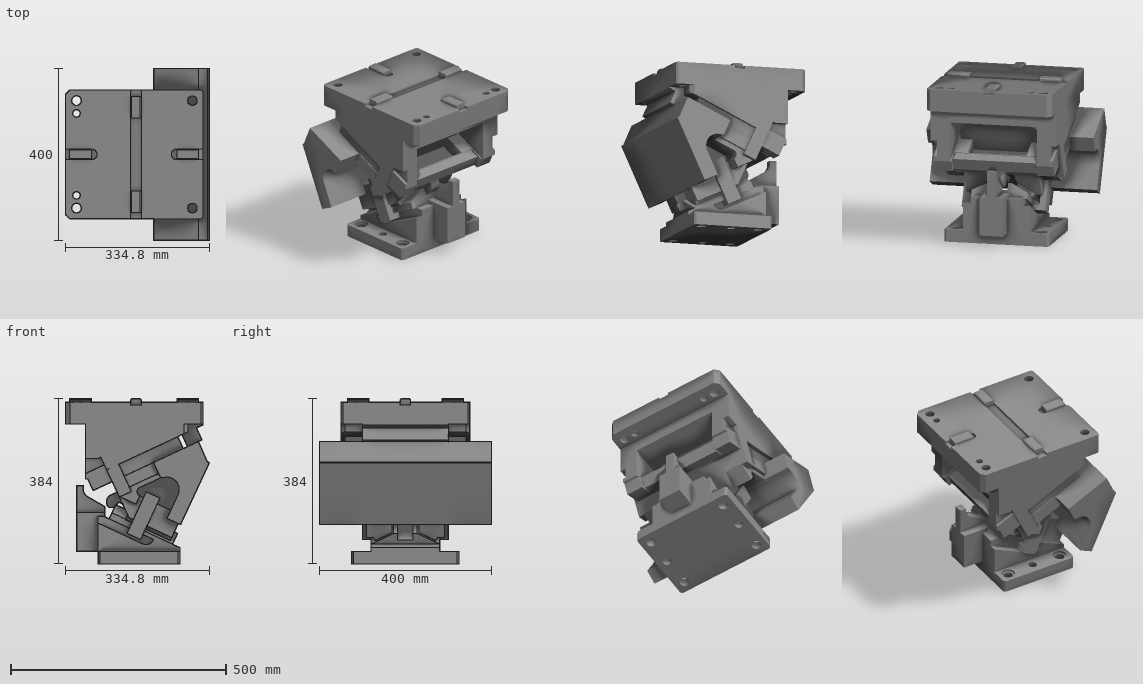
import cadquery as cq
import math


INCLINE = math.radians(25)
COS = math.cos(INCLINE)
SIN = math.sin(INCLINE)
UP_ORIGIN = (109.0, 191.0)
DOWN_ORIGIN = (101.5, 105.0)


def up(u, v):
    """x, z of a point u along the rising slope of the holder and v square to it."""
    return (UP_ORIGIN[0] + u * COS - v * SIN, UP_ORIGIN[1] + u * SIN + v * COS)


def down(p, q):
    """x, z of a point p along the falling slope of the base and q square to it."""
    return (DOWN_ORIGIN[0] + p * COS + q * SIN, DOWN_ORIGIN[1] - p * SIN + q * COS)


def slope_height(x, v):
    """z at x on the rising line that lies v above the underside of the slide plate."""
    return UP_ORIGIN[1] + (x - UP_ORIGIN[0]) * math.tan(INCLINE) + v / COS


def front_plane(q):
    """x, z of the point on the slide front plane (u = 0) at height q over the falling slope."""
    q_start = (UP_ORIGIN[0] - DOWN_ORIGIN[0]) * SIN + (UP_ORIGIN[1] - DOWN_ORIGIN[1]) * COS
    return up(0, (q - q_start) / math.cos(2 * INCLINE))


def prism(points, half_width):
    """Polygon in x, z extruded to both sides of y = 0."""
    return cq.Workplane("XZ").polyline(points).close().extrude(half_width, both=True)


def both_sides(outline, y_inner, y_outer):
    """Closed x, z outline extruded from y_inner to y_outer, on each side of y = 0."""
    slab = outline.extrude(y_outer - y_inner).translate((0, -y_inner, 0))
    return slab.union(slab.mirror("XZ"))


def side_prisms(points, y_inner, y_outer):
    return both_sides(cq.Workplane("XZ").polyline(points).close(), y_inner, y_outer)


def box(x0, x1, half_width, z0, z1):
    return prism([(x0, z0), (x1, z0), (x1, z1), (x0, z1)], half_width)


def guide_section(points, p_start, length):
    """Section in y, q swept along the falling slope from p_start."""
    x, z = down(p_start, 0)
    plane = cq.Plane(origin=(x, 0, z), xDir=(0, 1, 0), normal=(COS, 0, -SIN))
    return cq.Workplane(plane).polyline(points).close().extrude(length)


def mirrored(half_section):
    """Half section on +y, ordered, completed with its reflection on -y."""
    return half_section + [(-y, q) for y, q in reversed(half_section)]


MARGIN = 20

SLIDE_PLATE = 30.5
LIP_DROP = 28.0
LEG_DROP = 39.0
LEG_LENGTH = 31.0
LIP_Y = 135.0
GUIDED_Y = 142.5
PLATE_END = 182.5
RIDGE_FRONT = 37.0
RIDGE_LENGTH = 132
RIDGE_TOP = 81.0
RIDGE_Y = 98.5
RIDGE_CHAMFER = 25.0
BAR_END = -16
GUIDE_LENGTH = 159.0
GUIDE_TOP = 36.5
GUIDE_TOP_Y = 27.0
GUIDE_EDGE = 9.0
GUIDE_Y = 80
GUIDE_SLOPE = (GUIDE_TOP - GUIDE_EDGE) / (GUIDE_Y - GUIDE_TOP_Y)


def guide_q(y):
    """Height q of the sloping guide face at y."""
    return GUIDE_TOP - (y - GUIDE_TOP_Y) * GUIDE_SLOPE


def guide_y(q):
    """Half width of the sloping guide faces at height q."""
    return GUIDE_TOP_Y + (GUIDE_TOP - q) / GUIDE_SLOPE


TOP_X = 320
TOP_Y = 150.0
TOP_Z = 376
TOP_THICKNESS = 51.0
TOP_UNDER = TOP_Z - TOP_THICKNESS
FRONT_CHAMFER = 10.5
REAR_CHAMFER = 5.0
BODY_FRONT = 46.5
BODY_REAR = 285.0
BODY_CHAMFER = 9.5
WALL_INNER_Y = 105.0
WALL_BOTTOM = 197.0
GIB_FRONT = -49.0
GIB_TOP = 43.0
GIB_INNER_Y = 101.5
RECESS_TOP = 245.5
RECESS_BEND_X = 77.0
RECESS_V = 63.0
WINDOW_TOP = 290.0
TUNNEL_CLEARANCE = 5.0
LUG_Y = 100
STOP_FRONT = 193.0
STOP_REAR = 230.5
KEY_WIDTH = 25.0
KEY_LENGTH = 50.0
KEY_DEPTH = 7.0
KEY_RISE = 8
KEY_CHAMFER = 2.5
KEY_X = 164
KEY_SLOT = 73.5
EDGE_KEY_OFFSET = 35.0
SIDE_KEY_Y = 110.0
HOLE_D = 22.0
DOWEL_D = 17.0
HOLE_X = 26.0
HOLE_PITCH_X = 269.0
HOLE_Y = 125.0
DOWEL_Y = 95.0


def key(x_size, y_size, x, y):
    body = cq.Workplane("XY").box(x_size, y_size, KEY_DEPTH + KEY_RISE, centered=(True, True, False))
    long_edges = "|X" if x_size > y_size else "|Y"
    body = body.faces(">Z").edges(long_edges).chamfer(KEY_CHAMFER)
    return body.translate((x, y, TOP_Z - KEY_DEPTH))


def mounting_plate():
    plate = cq.Workplane("XY").box(TOP_X, 2 * TOP_Y, TOP_THICKNESS, centered=(False, True, False))
    plate = plate.edges("|Z and <X").chamfer(FRONT_CHAMFER)
    plate = plate.edges("|Z and >X").chamfer(REAR_CHAMFER)
    return plate.translate((0, 0, TOP_UNDER))


def holder_body():
    face_x = up(GIB_FRONT, 0)[0] - (WALL_BOTTOM - up(GIB_FRONT, 0)[1]) * math.tan(INCLINE)
    body = prism([
        (BODY_FRONT, TOP_UNDER),
        (BODY_FRONT, WALL_BOTTOM),
        (face_x, WALL_BOTTOM),
        up(GIB_FRONT, 0),
        up(0, 0),
        up(0, -LEG_DROP),
        up(LEG_LENGTH, -LEG_DROP),
        up(LEG_LENGTH, SLIDE_PLATE),
        (BODY_REAR, slope_height(BODY_REAR, SLIDE_PLATE)),
        (BODY_REAR, TOP_UNDER),
    ], TOP_Y)
    body = body.edges("|Z and >X").chamfer(BODY_CHAMFER).union(mounting_plate())

    recess = [(0, 0), (0, RECESS_TOP), (RECESS_BEND_X, RECESS_TOP), up(0, RECESS_V), up(0, -LEG_DROP)]
    body = body.cut(side_prisms(recess, LIP_Y, TOP_Y + MARGIN))
    gib = side_prisms([(BODY_FRONT, slope_height(BODY_FRONT, GIB_TOP)), (BODY_FRONT, WALL_BOTTOM),
                       (face_x, WALL_BOTTOM), up(GIB_FRONT, 0), up(0, 0), up(0, GIB_TOP)],
                      GIB_INNER_Y, GUIDED_Y)
    shelf_cut = prism([up(GIB_FRONT - MARGIN, SLIDE_PLATE), up(0, SLIDE_PLATE), up(0, GIB_TOP),
                       up(GIB_FRONT - MARGIN, GIB_TOP)], WALL_INNER_Y)
    gib = gib.cut(shelf_cut)

    roof_v = RIDGE_TOP + TUNNEL_CLEARANCE
    tunnel_end = RIDGE_FRONT + RIDGE_LENGTH + TUNNEL_CLEARANCE
    roof_x = UP_ORIGIN[0] + (WINDOW_TOP - slope_height(UP_ORIGIN[0], roof_v)) / math.tan(INCLINE)
    window = [(0, 0), (0, WINDOW_TOP), (roof_x, WINDOW_TOP), up(tunnel_end, roof_v),
              up(tunnel_end, SLIDE_PLATE), up(LEG_LENGTH, SLIDE_PLATE), up(LEG_LENGTH, -LEG_DROP - MARGIN)]
    body = body.cut(prism(window, WALL_INNER_Y)).union(gib)

    way_end = LEG_LENGTH + MARGIN
    upper_way = [up(0, -LIP_DROP), up(way_end, -LIP_DROP), up(way_end, SLIDE_PLATE), up(0, SLIDE_PLATE)]
    lower_way = [up(0, -LEG_DROP - MARGIN), up(way_end, -LEG_DROP - MARGIN), up(way_end, 0), up(0, 0)]
    return body.cut(prism(upper_way, GUIDED_Y)).cut(prism(lower_way, LIP_Y))


def stop_lug():
    return prism([
        (BODY_REAR - MARGIN, TOP_UNDER),
        up(STOP_FRONT, SLIDE_PLATE),
        up(STOP_FRONT, 0),
        up(STOP_REAR, 0),
        up(STOP_REAR, SLIDE_PLATE),
        (TOP_X, slope_height(TOP_X, SLIDE_PLATE)),
        (TOP_X, TOP_UNDER),
    ], LUG_Y)


def make_holder():
    holder = holder_body().union(stop_lug())
    key_floor = TOP_Z - KEY_DEPTH
    holder = holder.cut(box(KEY_X - KEY_WIDTH / 2, KEY_X + KEY_WIDTH / 2, TOP_Y, key_floor, TOP_Z))
    for edge_x, direction in ((0, 1), (TOP_X, -1)):
        end_x = edge_x + direction * (KEY_SLOT - KEY_WIDTH / 2)
        slot = box(min(edge_x, end_x), max(edge_x, end_x), KEY_WIDTH / 2, key_floor, TOP_Z)
        slot_end = cq.Workplane("XY").circle(KEY_WIDTH / 2).extrude(KEY_DEPTH)
        holder = holder.cut(slot).cut(slot_end.translate((end_x, 0, key_floor)))
        holder = holder.union(key(KEY_LENGTH, KEY_WIDTH, edge_x + direction * EDGE_KEY_OFFSET, 0))
    for side in (-1, 1):
        holder = holder.union(key(KEY_WIDTH, KEY_LENGTH, KEY_X, side * SIDE_KEY_Y))
    bolts = [(x, side * HOLE_Y) for x in (HOLE_X, HOLE_X + HOLE_PITCH_X) for side in (-1, 1)]
    dowels = [(HOLE_X, side * DOWEL_Y) for side in (-1, 1)]
    for points, diameter in ((bolts, HOLE_D), (dowels, DOWEL_D)):
        drills = cq.Workplane("XY").pushPoints(points).circle(diameter / 2).extrude(TOP_THICKNESS)
        holder = holder.cut(drills.translate((0, 0, TOP_UNDER)))
    return holder


BAR_FRONT = -40
BAR_TOP = 29.0
BAR_Y = 99.0
PLATE_Y = 141.0
PLATE_POCKET_Y = 70.5
POCKET_LIP = 1.5

WING_Y = 200
WING_FRONT = 106.0
WING_TOP_END = 221.0
WING_FOOT = 57.5
WING_REAR = 156.5
WING_HEEL = 216.5
HEEL_LENGTH = 5.0
ARCH_CENTER = (235.5, 173.0)
ARCH_RADIUS = 29.0
ARCH_P = (ARCH_CENTER[0] - DOWN_ORIGIN[0]) * COS - (ARCH_CENTER[1] - DOWN_ORIGIN[1]) * SIN
ARCH_FOOT = 119.0

CHANNEL_TOP = 57.0
CHANNEL_Y = 31.5
POCKET_FRONT = 42.0
POCKET_STEP = 78.5
POCKET_REAR = ARCH_P + ARCH_RADIUS
POCKET_ROOF_U = 51.0
CORNER_SIZE = 6.0
WEB_Y = 64
WEB_OVERLAP = 5.0

FLANK_Y = 90.5
FLANK_BOTTOM = 22.0
CORE_REAR = 150.5
LINER_Y = 75.0
LINER_TOP = 46.0
LINER_BOTTOM = 14.0
LINER_FRONT = 35.5

RETAINER_FRONT = 52
RETAINER_REAR = 87.0
RETAINER_TOP = 93.0
RETAINER_BOTTOM = -13.0
RETAINER_Y = 100
RETAINER_INNER_Y = 85.0
HOOK_Y = 69.0
SEAT_BOTTOM = 40

FINGER_Y = 13.0
FINGER_TOP = -26.5
FINGER_UNDER = 44
FINGER_TIP = 32
FINGER_HEEL = 3.0
FINGER_ROOT = 32
FINGER_BOTTOM = 131.0


def pocket_corner(wire):
    """Round front corner of the side pocket, from its step up to its roof."""
    return wire.threePointArc((167.0, 167.0), up(POCKET_ROOF_U, -LEG_DROP))


def arch_point(angle):
    return (ARCH_CENTER[0] + ARCH_RADIUS * math.cos(angle), ARCH_CENTER[1] + ARCH_RADIUS * math.sin(angle))


def wing_outline(wire):
    """From the front foot of the wing, over its arch and rear faces, back along the top."""
    return (wire.lineTo(*arch_point(math.pi / 2))
            .threePointArc(arch_point(math.pi / 4), arch_point(-INCLINE))
            .lineTo(*down(POCKET_REAR, WING_FOOT)).lineTo(*down(WING_REAR, WING_FOOT))
            .lineTo(*down(WING_REAR, WING_HEEL)).lineTo(*down(WING_REAR - HEEL_LENGTH, WING_HEEL))
            .lineTo(*up(WING_TOP_END, 0)))


def slide_carrier():
    middle = (cq.Workplane("XZ").moveTo(*up(0, 0)).lineTo(*front_plane(CHANNEL_TOP))
              .lineTo(*down(POCKET_FRONT, CHANNEL_TOP)).lineTo(*down(POCKET_FRONT, POCKET_STEP)))
    middle = pocket_corner(middle).lineTo(*up(WING_FRONT, -LEG_DROP))
    middle = wing_outline(middle).close().extrude(LIP_Y, both=True)
    wing = cq.Workplane("XZ").moveTo(*up(WING_FRONT, 0)).lineTo(*up(WING_FRONT, -LEG_DROP))
    wings = both_sides(wing_outline(wing).close(), LIP_Y, WING_Y)
    guided = prism([up(0, 0), up(0, -LIP_DROP), up(WING_FRONT, -LIP_DROP), up(WING_FRONT, 0)], GUIDED_Y)
    return middle.union(wings).union(guided)


def slide_plate():
    plate = prism([up(0, 0), up(PLATE_END, 0), up(PLATE_END, SLIDE_PLATE), up(0, SLIDE_PLATE)], PLATE_Y)
    tongue = prism([up(BAR_END, 0), up(0, 0), up(0, SLIDE_PLATE), up(BAR_END, SLIDE_PLATE)], GIB_INNER_Y)
    bar = prism([up(BAR_FRONT, 0), up(BAR_END, 0), up(BAR_END, BAR_TOP), up(BAR_FRONT, BAR_TOP)], BAR_Y)
    start, end = BAR_END + POCKET_LIP, RIDGE_FRONT + POCKET_LIP
    pocket = prism([up(start, 0), up(end, 0), up(end, SLIDE_PLATE), up(start, SLIDE_PLATE)], PLATE_POCKET_Y)
    return plate.union(tongue).cut(pocket).union(bar)


def slide_ridge():
    x, z = up(RIDGE_FRONT, SLIDE_PLATE)
    plane = cq.Plane(origin=(x, 0, z), xDir=(0, 1, 0), normal=(COS, 0, SIN))
    height = RIDGE_TOP - SLIDE_PLATE
    half_section = [(RIDGE_Y, 0), (RIDGE_Y, height - RIDGE_CHAMFER), (RIDGE_Y - RIDGE_CHAMFER, height)]
    return cq.Workplane(plane).polyline(mirrored(half_section)).close().extrude(RIDGE_LENGTH)


def slide_core():
    corner_turn = CORNER_SIZE * (1 - math.sqrt(0.5))
    flank = (cq.Workplane("XZ")
             .polyline([down(POCKET_FRONT, POCKET_STEP), down(POCKET_FRONT, CHANNEL_TOP),
                        front_plane(CHANNEL_TOP), front_plane(FLANK_BOTTOM), down(CORE_REAR, FLANK_BOTTOM),
                        down(CORE_REAR, WING_FOOT + 4), down(POCKET_REAR, WING_FOOT + 4),
                        down(POCKET_REAR, POCKET_STEP + CORNER_SIZE)])
             .threePointArc(down(POCKET_REAR - corner_turn, POCKET_STEP + corner_turn),
                            down(POCKET_REAR - CORNER_SIZE, POCKET_STEP))
             .close().extrude(FLANK_Y, both=True))
    web_front, web_rear = POCKET_FRONT - WEB_OVERLAP, POCKET_REAR + WEB_OVERLAP
    web_roof = -LEG_DROP + 2 * WEB_OVERLAP
    web = prism([down(web_front, POCKET_STEP - WEB_OVERLAP), down(web_rear, POCKET_STEP - WEB_OVERLAP),
                 down(web_rear, ARCH_FOOT + ARCH_RADIUS), up(WING_FRONT + ARCH_RADIUS, -LIP_DROP + 4),
                 up(POCKET_ROOF_U - 2 * WEB_OVERLAP, web_roof)], WEB_Y)
    bed = mirrored([(LINER_Y, FLANK_BOTTOM - MARGIN), (LINER_Y, FLANK_BOTTOM), (CHANNEL_Y, LINER_TOP),
                    (CHANNEL_Y, CHANNEL_TOP)])
    return flank.union(web).cut(guide_section(bed, -4 * MARGIN, 2 * GUIDE_LENGTH))


def v_liners():
    """Bearing strips that ride on the two sloping faces of the V-guide."""
    half = [(LINER_Y, FLANK_BOTTOM), (guide_y(LINER_BOTTOM), LINER_BOTTOM), (CHANNEL_Y, guide_q(CHANNEL_Y)),
            (CHANNEL_Y, LINER_TOP)]
    liner = guide_section(half, LINER_FRONT, CORE_REAR - LINER_FRONT)
    return liner.union(liner.mirror("XZ"))


def retainers():
    """Side plates that hook under the lips of the base."""
    def block(bottom, top, y_inner, y_outer):
        corners = [down(RETAINER_FRONT, bottom), down(RETAINER_REAR, bottom),
                   down(RETAINER_REAR, top), down(RETAINER_FRONT, top)]
        return side_prisms(corners, y_inner, y_outer)

    straps = block(RETAINER_BOTTOM, RETAINER_TOP, RETAINER_INNER_Y, RETAINER_Y)
    hooks = block(RETAINER_BOTTOM, 0, HOOK_Y, RETAINER_INNER_Y)
    seats = block(SEAT_BOTTOM, RETAINER_TOP, WEB_Y, RETAINER_INNER_Y)
    return straps.union(hooks).union(seats)


def return_finger():
    """Round-nosed hook at the front of the slide, reaching into the slot of the V-guide."""
    return (cq.Workplane("XZ").moveTo(*up(4, FINGER_TOP)).lineTo(*up(-17.5, FINGER_TOP))
            .threePointArc((95.5, 143.0), (101.0, FINGER_BOTTOM)).lineTo(112, FINGER_BOTTOM)
            .lineTo(*down(FINGER_HEEL, FINGER_TIP)).lineTo(*down(FINGER_HEEL, FINGER_UNDER))
            .lineTo(*down(FINGER_ROOT, FINGER_UNDER)).lineTo(*down(FINGER_ROOT, CHANNEL_TOP + 4)).close()
            .extrude(FINGER_Y, both=True))


def make_slide():
    slide = slide_carrier().union(slide_core()).union(v_liners()).union(slide_plate()).union(slide_ridge())
    return slide.union(retainers()).union(return_finger())


FOOT_FRONT = 76
FOOT_REAR = 266.5
FOOT_Y = 125.0
FOOT_THICKNESS = 29.5
FOOT_CHAMFER = 5.0
FOOT_BOLT_D = 22.0
FOOT_BOLT_HEAD_D = 32
FOOT_BOLT_HEAD_DEPTH = 5.0
FOOT_BOLT_OFFSET = 70.0
FOOT_HOLE_Y = 100
FOOT_DOWEL_D = 20
FOOT_DOWEL_X = 168
SHOULDER_TOP = 110.0
SLOT_Y = 18.0
SLOT_FLOOR = 19.0
GROOVE_DEPTH = 20
GROOVE_END = 114.5
GROOVE_Y = 62.5
LIP_CUT_Y = 67.0
LIP_START = 68
POST_FRONT = 26.0
POST_REAR = 91.5
POST_STEP = 120
POST_Y = 27.5
HORN_Y = 10.5
HORN_TOP = 182.0
HORN_REAR = 42.0


def make_foot():
    foot = box(FOOT_FRONT, FOOT_REAR, FOOT_Y, 0, FOOT_THICKNESS).edges("|Z").chamfer(FOOT_CHAMFER)
    middle_x = (FOOT_FRONT + FOOT_REAR) / 2
    bolts = [(middle_x + sx * FOOT_BOLT_OFFSET, sy * FOOT_HOLE_Y) for sx in (-1, 1) for sy in (-1, 1)]
    dowels = [(FOOT_DOWEL_X, sy * FOOT_HOLE_Y) for sy in (-1, 1)]
    foot = (foot.faces(">Z").workplane(origin=(0, 0, 0)).pushPoints(bolts)
            .cboreHole(FOOT_BOLT_D, FOOT_BOLT_HEAD_D, FOOT_BOLT_HEAD_DEPTH))
    return foot.faces(">Z").workplane(origin=(0, 0, 0)).pushPoints(dowels).hole(FOOT_DOWEL_D)


def guide_block():
    """Block under the V-guide, with the V-guide on its slope and a slot along the top."""
    rear_z = DOWN_ORIGIN[1] + (GUIDE_EDGE - (FOOT_REAR - DOWN_ORIGIN[0]) * SIN) / COS
    shoulder_x = DOWN_ORIGIN[0] - (SHOULDER_TOP - DOWN_ORIGIN[1]) / math.tan(INCLINE)
    block = prism([(FOOT_FRONT, 0), (FOOT_REAR, 0), (FOOT_REAR, rear_z), down(0, GUIDE_EDGE), down(0, 0),
                   (shoulder_x, SHOULDER_TOP), (FOOT_FRONT, SHOULDER_TOP)], GUIDE_Y)
    ridge = mirrored([(GUIDE_Y, 0), (GUIDE_Y, GUIDE_EDGE), (GUIDE_TOP_Y, GUIDE_TOP)])
    slot = mirrored([(SLOT_Y, SLOT_FLOOR), (SLOT_Y, GUIDE_TOP + MARGIN)])
    block = block.union(guide_section(ridge, 0, GUIDE_LENGTH))
    return block.cut(guide_section(slot, -MARGIN, GUIDE_LENGTH + 2 * MARGIN))


def guide_grooves():
    """Side grooves with a round rear end, and the cut that opens them at the front."""
    front = -4 * MARGIN
    arc_start = GROOVE_END - GROOVE_DEPTH
    diagonal = GROOVE_DEPTH * math.sqrt(0.5)
    groove = (cq.Workplane("XZ").moveTo(*down(front, 0)).lineTo(*down(front, -GROOVE_DEPTH))
              .lineTo(*down(arc_start, -GROOVE_DEPTH))
              .threePointArc(down(arc_start + diagonal, -diagonal), down(GROOVE_END, 0))
              .close())
    lip = [down(front, 0), down(LIP_START, 0), down(LIP_START, GUIDE_TOP), down(front, GUIDE_TOP)]
    outer = GUIDE_Y + MARGIN
    return both_sides(groove, GROOVE_Y, outer).union(side_prisms(lip, LIP_CUT_Y, outer))


def return_post():
    block = box(POST_FRONT, POST_REAR, POST_Y, FOOT_THICKNESS, POST_STEP)
    horn = (cq.Workplane("XZ").moveTo(POST_FRONT, POST_STEP).lineTo(POST_FRONT, HORN_TOP)
            .lineTo(HORN_REAR, HORN_TOP).lineTo(HORN_REAR, 173.0)
            .threePointArc((44.5, 164), (51.0, 157.0)).lineTo(POST_REAR, 133.5).lineTo(POST_REAR, POST_STEP)
            .close().extrude(HORN_Y, both=True))
    return block.union(horn)


def make_base():
    return make_foot().union(guide_block().cut(guide_grooves())).union(return_post())


holder = make_holder()
slide = make_slide()
base = make_base()

result = cq.Compound.makeCompound([holder.solids().val(), slide.solids().val(), base.solids().val()])